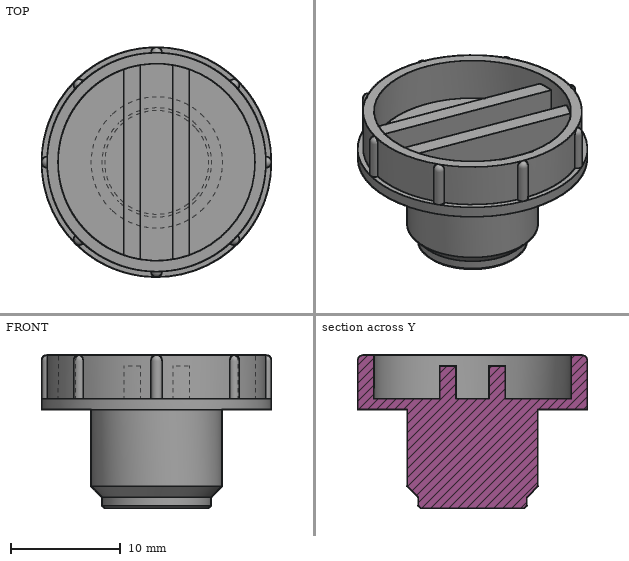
import cadquery as cq

flange_diameter = 21.0
cap_diameter = 20.0
pocket_diameter = 18.0
shaft_diameter = 12.0
neck_diameter = 10.0

flange_thickness = 1.0
cap_height = 4.0
shaft_length = 7.0
taper_length = 1.0
neck_length = 1.0
neck_chamfer = 0.25

bar_width = 1.5
bar_gap = 3.0
bar_height = 3.0

grip_count = 8

taper_base = neck_length
shaft_base = taper_base + taper_length
flange_base = shaft_base + shaft_length
flange_top = flange_base + flange_thickness
cap_top = flange_top + cap_height

grip_radius = (flange_diameter - cap_diameter) / 2
grip_circle_radius = cap_diameter / 2


def make_body():
    """Revolve the neck, taper, shaft, flange and hollow cap as one profile."""
    profile = [
        (0, 0),
        (neck_diameter / 2 - neck_chamfer, 0),
        (neck_diameter / 2, neck_chamfer),
        (neck_diameter / 2, taper_base),
        (shaft_diameter / 2, shaft_base),
        (shaft_diameter / 2, flange_base),
        (flange_diameter / 2, flange_base),
        (flange_diameter / 2, flange_top),
        (cap_diameter / 2, flange_top),
        (cap_diameter / 2, cap_top),
        (pocket_diameter / 2, cap_top),
        (pocket_diameter / 2, flange_top),
        (0, flange_top),
    ]
    return cq.Workplane("XZ").polyline(profile).close().revolve(360, (0, 0), (0, 1))


def make_bars():
    """Two parallel bars on the pocket floor, ending inside the cap wall."""
    bar_offset = (bar_gap + bar_width) / 2
    blanks = (
        cq.Workplane("XY", origin=(0, 0, flange_base))
        .pushPoints([(-bar_offset, 0), (bar_offset, 0)])
        .rect(bar_width, cap_diameter)
        .extrude(flange_thickness + bar_height)
    )
    trim_diameter = (pocket_diameter + cap_diameter) / 2
    trim = cq.Workplane("XY", origin=(0, 0, flange_base)).circle(trim_diameter / 2).extrude(cap_top)
    return blanks.intersect(trim)


def make_grip(angle):
    """One round-topped rib standing on the flange, half sunk into the cap wall."""
    dome_base = cap_top - grip_radius
    grip = (
        cq.Workplane("XZ")
        .moveTo(0, flange_top)
        .lineTo(grip_radius, flange_top)
        .lineTo(grip_radius, dome_base)
        .radiusArc((0, cap_top), -grip_radius)
        .close()
        .revolve(360, (0, 0), (0, 1))
    )
    return grip.rotate((0, 0, 0), (0, 0, 1), 180).translate((grip_circle_radius, 0, 0)).rotate(
        (0, 0, 0), (0, 0, 1), angle
    )


result = make_body().union(make_bars())
for index in range(grip_count):
    result = result.union(make_grip(index * 360 / grip_count))